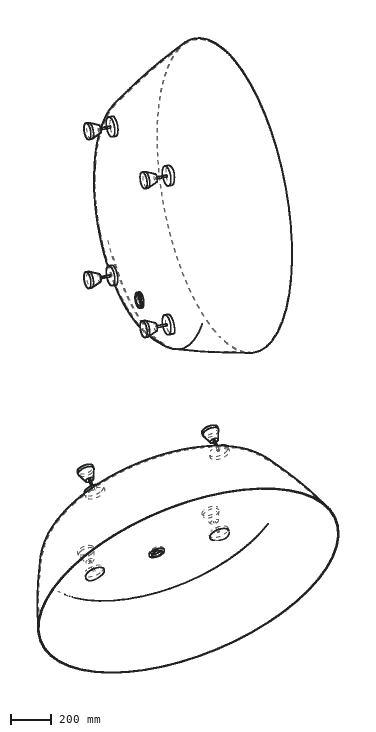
import cadquery as cq


FOOT_DEPTH = 590
FOOT_HALF_SPACING_X = 325
FOOT_UPPER_Z = 325
FOOT_LOWER_Z = -475
PLATE_RADIUS = 50
PLATE_TOP_DEPTH = 438
PLATE_BOTTOM_DEPTH = 465
ROD_RADIUS = 5
CONE_TOP_RADIUS = 21
CONE_TOP_DEPTH = 525
PAD_RADIUS = 41.5
PAD_HEIGHT = 14

DRAIN_Z = FOOT_LOWER_Z
DRAIN_RADIUS = 40
COLLAR_TOP_DEPTH = 448
DRAIN_BOTTOM_DEPTH = 467
DRAIN_CHAMFER = 2.5
DRAIN_HOLE_RADIUS = 27

RIM = (785.5, 0, 0, 0)
BULGE = (717, 195, -31, 0)
SHOULDER = (635.5, 383, -72, 0.023)
KNUCKLE = (592, 430, -63, 0)
FLOOR = (540, 447, -68, 0)
DRAIN_SEAT = (DRAIN_RADIUS, 454.5, DRAIN_Z, 0)

WALL_THICKNESS = 4


def disc_plane(depth, x=0, z=0, slope=0):
    """Plane across the tub axis, facing away from the opening."""
    return cq.Plane(origin=(x, -depth, z), xDir=(0, -slope, 1), normal=(0, -1, -slope))


def loft_sections(sections, inset, ruled=False):
    """Body through round sections, moved in by the inset sideways and toward the rim."""
    wires = []
    for radius, depth, center_z, slope in sections:
        plane = disc_plane(depth - inset, z=center_z, slope=slope)
        wires.append(cq.Workplane(plane).circle(radius - inset).wires().val())
    return cq.Workplane(cq.Solid.makeLoft(wires, ruled))


def bowl(inset):
    """Side wall, rounded floor edge and floor falling toward the drain, as one filled body."""
    side = loft_sections([RIM, BULGE, SHOULDER], inset)
    floor_edge = loft_sections([SHOULDER, KNUCKLE, FLOOR], inset)
    sloping_floor = loft_sections([FLOOR, DRAIN_SEAT], inset, ruled=True)
    return side.union(floor_edge).union(sloping_floor)


def cylinder(radius, top_depth, bottom_depth, x, z):
    """Cylinder along the tub axis between two depths below the rim."""
    return cq.Workplane(disc_plane(top_depth, x, z)).circle(radius).extrude(bottom_depth - top_depth)


def foot(x, z):
    """Mounting plate, threaded rod and conical foot with a flat pad."""
    pad_top_depth = FOOT_DEPTH - PAD_HEIGHT
    plate = cylinder(PLATE_RADIUS, PLATE_TOP_DEPTH, PLATE_BOTTOM_DEPTH, x, z)
    rod = cylinder(ROD_RADIUS, PLATE_BOTTOM_DEPTH, CONE_TOP_DEPTH, x, z)
    cone = (
        cq.Workplane(disc_plane(CONE_TOP_DEPTH, x, z))
        .circle(CONE_TOP_RADIUS)
        .workplane(offset=pad_top_depth - CONE_TOP_DEPTH)
        .circle(PAD_RADIUS)
        .loft(ruled=True)
    )
    pad = cylinder(PAD_RADIUS, pad_top_depth, FOOT_DEPTH, x, z)
    return plate.union(rod).union(cone).union(pad)


def drain_collar():
    """Collar below the floor, chamfered at its outer end."""
    collar = cylinder(DRAIN_RADIUS, COLLAR_TOP_DEPTH, DRAIN_BOTTOM_DEPTH, 0, DRAIN_Z)
    return collar.faces("<Y").chamfer(DRAIN_CHAMFER)


result = bowl(inset=0).union(drain_collar())
for foot_x in (-FOOT_HALF_SPACING_X, FOOT_HALF_SPACING_X):
    for foot_z in (FOOT_LOWER_Z, FOOT_UPPER_Z):
        result = result.union(foot(foot_x, foot_z))
result = result.cut(bowl(inset=WALL_THICKNESS))
result = result.cut(cylinder(DRAIN_HOLE_RADIUS, 0, FOOT_DEPTH, 0, DRAIN_Z)).solids()